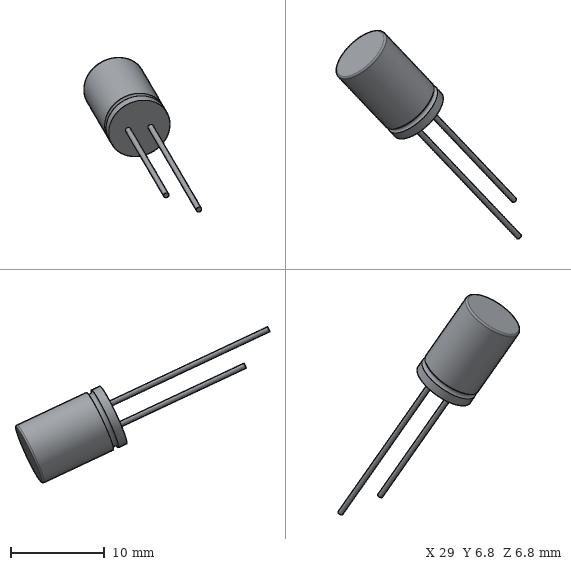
import cadquery as cq

CAN_DIAMETER = 6.8
CAN_LENGTH = 10.0
CLOSED_END_FILLET = 0.2

GROOVE_RADIUS = 0.3
GROOVE_FROM_LEAD_END = 1.3

LEAD_DIAMETER = 0.6
LEAD_PITCH = 2.5
LONG_LEAD_LENGTH = 19.0
SHORT_LEAD_LENGTH = 15.0


def make_can():
    """Solid can with a rounded closed end and a crimp groove, revolved about X."""
    radius = CAN_DIAMETER / 2
    groove_x = CAN_LENGTH - GROOVE_FROM_LEAD_END
    return (
        cq.Workplane("XY")
        .lineTo(0, radius - CLOSED_END_FILLET)
        .radiusArc((CLOSED_END_FILLET, radius), CLOSED_END_FILLET)
        .lineTo(groove_x - GROOVE_RADIUS, radius)
        .threePointArc((groove_x, radius - GROOVE_RADIUS), (groove_x + GROOVE_RADIUS, radius))
        .lineTo(CAN_LENGTH, radius)
        .lineTo(CAN_LENGTH, 0)
        .close()
        .revolve(360, (0, 0, 0), (1, 0, 0))
    )


def make_lead(y, length):
    """Straight round wire starting on the lead end of the can."""
    return (
        cq.Workplane("YZ", origin=(CAN_LENGTH, y, 0))
        .circle(LEAD_DIAMETER / 2)
        .extrude(length)
    )


can = make_can()

lead_layout = [
    (LEAD_PITCH / 2, LONG_LEAD_LENGTH),
    (-LEAD_PITCH / 2, SHORT_LEAD_LENGTH),
]
leads = [make_lead(y, length) for y, length in lead_layout]

result = cq.Compound.makeCompound([can.val(), *[lead.val() for lead in leads]])